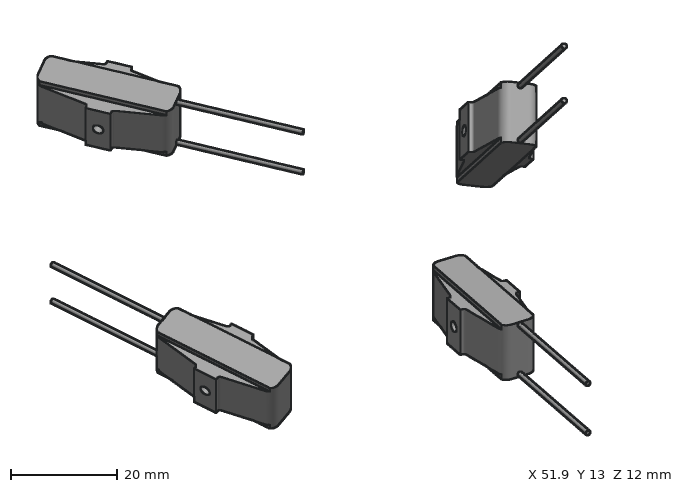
import cadquery as cq

total_length = 51.9
total_width = 13.0
total_height = 12.0

body_length = 26.9
core_width = 7.0
belly_height = 9.9
corner_radius = 1.95
boss_width = 4.95
boss_root_width = 11.1
boss_root_radius = 0.5

hole_diameter = 2.1
hole_depth = 2.1

wire_diameter = 1.05
wire_spacing = 10.8

left_end = -total_length / 2
body_center = left_end + body_length / 2


def make_profile():
    """Full-height tapered block with side bosses, rounded at its ends and boss roots."""
    end_x = body_length / 2
    end_y = core_width / 2
    boss_x = boss_width / 2
    root_y = boss_root_width / 2
    face_y = total_width / 2
    front_side = [
        (-end_x, -end_y),
        (-boss_x, -root_y),
        (-boss_x, -face_y),
        (boss_x, -face_y),
        (boss_x, -root_y),
        (end_x, -end_y),
    ]
    back_side = [(-x, -y) for x, y in front_side]
    belly = (
        cq.Workplane("XY")
        .polyline(front_side + back_side)
        .close()
        .extrude(total_height / 2, both=True)
    )
    belly = belly.edges("|Z and (<X or >X)").fillet(corner_radius)
    root_points = [(sx * boss_x, sy * root_y, 0) for sx in (-1, 1) for sy in (-1, 1)]
    for point in root_points:
        belly = belly.edges(cq.selectors.NearestToPointSelector(point)).fillet(boss_root_radius)
    return belly


def make_body():
    """Full-height core joined to the belly, which stops short of the top and bottom."""
    profile = make_profile()
    core = profile.intersect(cq.Workplane("XY").box(body_length, core_width, total_height))
    belly = profile.intersect(cq.Workplane("XY").box(body_length, total_width, belly_height))
    body = core.union(belly)
    for side in (-1, 1):
        hole = (
            cq.Workplane("XZ", origin=(0, side * total_width / 2, 0))
            .circle(hole_diameter / 2)
            .extrude(side * hole_depth)
        )
        body = body.cut(hole)
    return body.translate((body_center, 0, 0))


def make_wire(z):
    """Straight round lead running from inside the body to the far end."""
    return (
        cq.Workplane("YZ", origin=(body_center, 0, z))
        .circle(wire_diameter / 2)
        .extrude(total_length / 2 - body_center)
    )


result = make_body()
for wire_z in (-wire_spacing / 2, wire_spacing / 2):
    result = result.union(make_wire(wire_z))